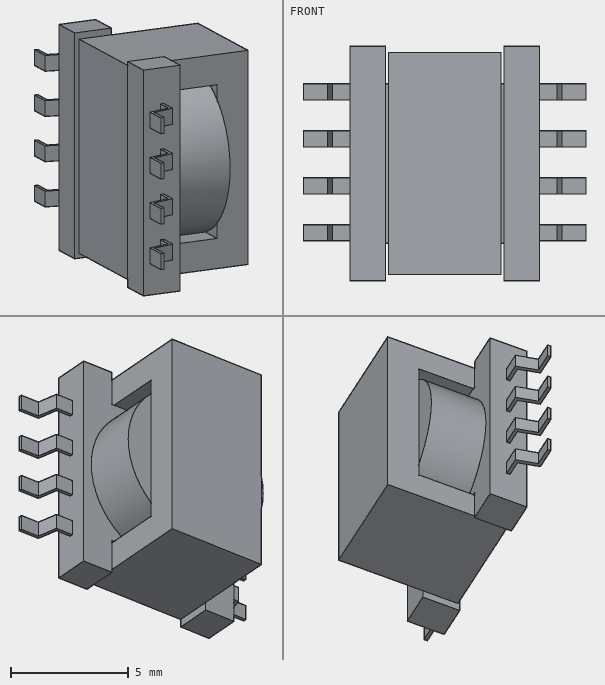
import cadquery as cq

overall_width = 12.07

rail_length = 10.0
rail_inner_x = 2.52
rail_outer_x = 4.04
rail_bottom = 0.17
rail_top = 1.92

core_width = 4.8
core_length = 9.49
core_bottom = 0.31
core_top = 5.97

window_length = 6.81
window_bottom = 1.53
window_top = 4.5

winding_diameter = 7.27

lead_count = 4
lead_pitch = 2.0
lead_row_offset = 0.05
lead_width = 0.7
lead_thickness = 0.16
lead_shoulder_top = 1.13
lead_bend_bottom_x = 5.01
lead_bend_top_x = 4.78
lead_bend_run = 0.12


def block(x_min, x_max, y_min, y_max, length):
    """Box between the given X and Y limits, centred on Z = 0."""
    return (
        cq.Workplane("XY")
        .center((x_min + x_max) / 2, (y_min + y_max) / 2)
        .box(x_max - x_min, y_max - y_min, length)
    )


def make_core():
    """Rectangular core with a window passing through along X."""
    half_width = core_width / 2
    body = block(-half_width, half_width, core_bottom, core_top, core_length)
    window = block(-half_width, half_width, window_bottom, window_top, window_length)
    return body.cut(window)


def make_winding():
    """Round winding about Y, trimmed to the length of the core window."""
    radius = winding_diameter / 2
    height = window_top - window_bottom
    coil = cq.Workplane("XZ", origin=(0, window_top, 0)).circle(radius).extrude(height)
    return coil.intersect(block(-radius, radius, window_bottom, window_top, window_length))


def make_bobbin():
    """Two terminal rails joined by a plate lying on the window floor."""
    left_rail = block(-rail_outer_x, -rail_inner_x, rail_bottom, rail_top, rail_length)
    right_rail = left_rail.mirror("YZ")
    plate = block(-rail_inner_x, rail_inner_x, window_bottom, rail_top, window_length)
    return plate.union(left_rail).union(right_rail)


def make_lead(z_center):
    """Gull-wing lead on the +X side: shoulder, sloping leg and flat foot."""
    foot_end = overall_width / 2
    profile = [
        (rail_outer_x, lead_shoulder_top),
        (lead_bend_top_x + lead_bend_run, lead_shoulder_top),
        (lead_bend_bottom_x + lead_bend_run, lead_thickness),
        (foot_end, lead_thickness),
        (foot_end, 0),
        (lead_bend_bottom_x, 0),
        (lead_bend_top_x, lead_shoulder_top - lead_thickness),
        (rail_outer_x, lead_shoulder_top - lead_thickness),
    ]
    return (
        cq.Workplane("XY", origin=(0, 0, z_center - lead_width / 2))
        .polyline(profile)
        .close()
        .extrude(lead_width)
    )


result = make_core().union(make_winding()).union(make_bobbin())
for index in range(lead_count):
    lead_z = lead_row_offset + (index - (lead_count - 1) / 2) * lead_pitch
    lead = make_lead(lead_z)
    result = result.union(lead).union(lead.mirror("YZ"))